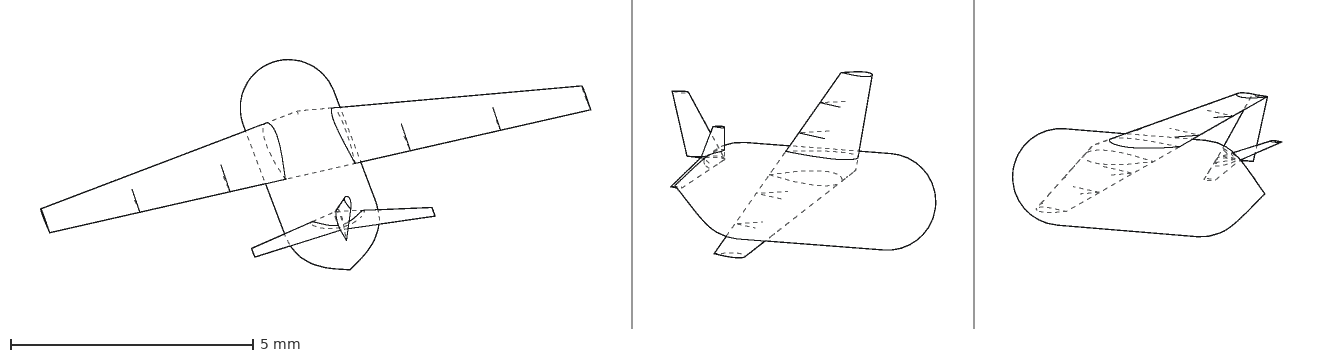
import cadquery as cq
import math

fuselage_radius = 1.0
taper_start_x = 4.1
taper_middle = (4.83, 0.69)
tail_point_x = 5.51
tail_point_slope = -1.0

flying_surface_z = 0.66
half_span = 5.82
wing_trailing_x = 3.33
wing_root_chord = 1.67
wing_tip_chord = 0.66

tailplane_half_span = half_span / 3
tailplane_root_x = 4.45
tailplane_root_chord = 0.5
tailplane_tip_x = 4.9
tailplane_tip_chord = 0.25

fin_top_z = 2.06
fin_root_x = 4.45
fin_root_chord = 0.8
fin_tip_x = 5.22
fin_tip_chord = 0.35
fin_thickness = 0.12

airfoil_root_term = 0.2969
airfoil_scale = 5
wing_thickness_ratio = 0.16
tailplane_thickness_ratio = 0.15
airfoil_terms = (-0.1260, -0.3516, 0.2843, -0.1036)
airfoil_steps = 12


def half_thickness(fraction):
    """Half thickness at a fraction of the chord, for an airfoil of unit thickness."""
    later_terms = sum(term * fraction ** (power + 1) for power, term in enumerate(airfoil_terms))
    return airfoil_scale * (airfoil_root_term * math.sqrt(fraction) + later_terms)


def airfoil_wire(leading_edge, chord, thickness, thickness_direction):
    """Closed airfoil with its chord along +X and the given thickness direction."""
    start = cq.Vector(*leading_edge)
    across = cq.Vector(*thickness_direction)

    def surface_point(fraction, side):
        return start + cq.Vector(chord * fraction, 0, 0) + across * (side * thickness * half_thickness(fraction))

    fractions = [(1 - math.cos(math.pi * i / airfoil_steps)) / 2 for i in range(airfoil_steps + 1)]
    upper = [surface_point(fraction, 1) for fraction in reversed(fractions)]
    lower = [surface_point(fraction, -1) for fraction in fractions[1:-1]]
    outline = cq.Edge.makeSpline(upper + lower + [upper[0]])
    return cq.Wire.assembleEdges([outline])


def tapered_panel(root_section, tip_section, thickness_direction):
    """Straight-sided airfoil panel; each section is (leading edge, chord, thickness)."""
    root = airfoil_wire(*root_section, thickness_direction)
    tip = airfoil_wire(*tip_section, thickness_direction)
    return cq.Workplane(cq.Solid.makeLoft([root, tip], True))


def make_fuselage_blank():
    """Round nose, straight barrel and pointed tail, before the openings are cut."""
    nose_middle = fuselage_radius * math.sqrt(0.5)
    return (
        cq.Workplane("XY")
        .moveTo(0, 0)
        .threePointArc((fuselage_radius - nose_middle, nose_middle), (fuselage_radius, fuselage_radius))
        .lineTo(taper_start_x, fuselage_radius)
        .spline(
            [taper_middle, (tail_point_x, 0)],
            tangents=[(1, 0), (1, tail_point_slope)],
            includeCurrent=True,
        )
        .close()
        .revolve(360, (0, 0, 0), (1, 0, 0))
    )


def make_wing():
    """Full-span wing, with a joint line at each third of either half span."""
    panels_per_side = 3

    def wing_section(side, joint):
        span_fraction = joint / panels_per_side
        chord = wing_root_chord + (wing_tip_chord - wing_root_chord) * span_fraction
        leading_edge = (wing_trailing_x - chord, side * half_span * span_fraction, flying_surface_z)
        return leading_edge, chord, chord * wing_thickness_ratio

    wing = cq.Workplane()
    for side in (-1, 1):
        for joint in range(panels_per_side):
            panel = tapered_panel(wing_section(side, joint), wing_section(side, joint + 1), (0, 0, 1))
            wing = wing.union(panel)
    return wing


def make_tail():
    """Tailplane and upright fin joined at the centre plane."""
    tail = tapered_panel(
        ((fin_root_x, 0, flying_surface_z), fin_root_chord, fin_thickness),
        ((fin_tip_x, 0, fin_top_z), fin_tip_chord, fin_thickness),
        (0, 1, 0),
    )
    root_thickness = tailplane_root_chord * tailplane_thickness_ratio
    tip_thickness = tailplane_tip_chord * tailplane_thickness_ratio
    root_edge = (tailplane_root_x, 0, flying_surface_z)
    for side in (-1, 1):
        tip_edge = (tailplane_tip_x, side * tailplane_half_span, flying_surface_z)
        tail = tail.union(tapered_panel(
            (root_edge, tailplane_root_chord, root_thickness),
            (tip_edge, tailplane_tip_chord, tip_thickness),
            (0, 0, 1),
        ))
    return tail


wing = make_wing()
tail = make_tail()

fuselage = make_fuselage_blank().cut(wing).cut(tail)

result = cq.Compound.makeCompound([fuselage.val(), wing.val(), tail.val()])